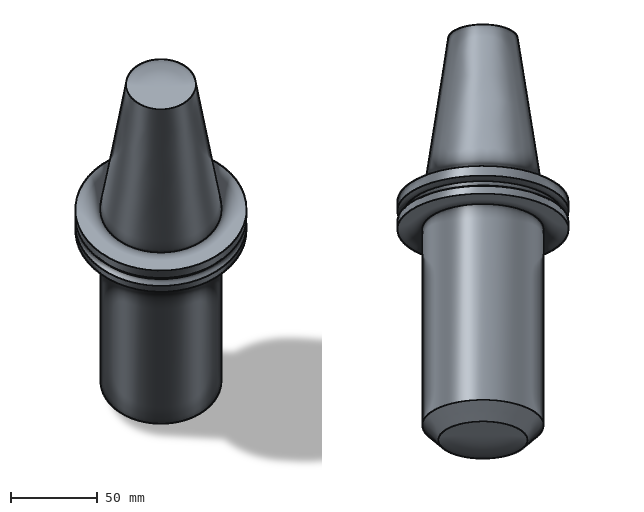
import cadquery as cq
import math

total_height = 254.0
taper_length = 101.5
collar_height = 1.5
flange_thickness = 17.5
upper_lip_thickness = 6.0
lower_lip_thickness = 4.8
nose_chamfer_height = 9.5

body_diameter = 69.8
flange_diameter = 98.5
groove_diameter = 91.7
nose_diameter = 51.3

taper_ratio = 7 / 24
groove_wall_angle = 30.0

body_radius = body_diameter / 2
flange_radius = flange_diameter / 2
groove_radius = groove_diameter / 2
nose_radius = nose_diameter / 2
shank_end_radius = (body_diameter - taper_length * taper_ratio) / 2

gauge_z = total_height - taper_length
flange_top_z = gauge_z - collar_height
flange_bottom_z = flange_top_z - flange_thickness
groove_top_z = flange_top_z - upper_lip_thickness
groove_bottom_z = flange_bottom_z + lower_lip_thickness
groove_wall_height = (flange_radius - groove_radius) * math.tan(math.radians(groove_wall_angle))

profile = [
    (0, 0),
    (nose_radius, 0),
    (body_radius, nose_chamfer_height),
    (body_radius, flange_bottom_z),
    (flange_radius, flange_bottom_z),
    (flange_radius, groove_bottom_z),
    (groove_radius, groove_bottom_z + groove_wall_height),
    (groove_radius, groove_top_z - groove_wall_height),
    (flange_radius, groove_top_z),
    (flange_radius, flange_top_z),
    (body_radius, flange_top_z),
    (body_radius, gauge_z),
    (shank_end_radius, total_height),
    (0, total_height),
]

result = cq.Workplane("XZ").polyline(profile).close().revolve(360, (0, 0), (0, 1))